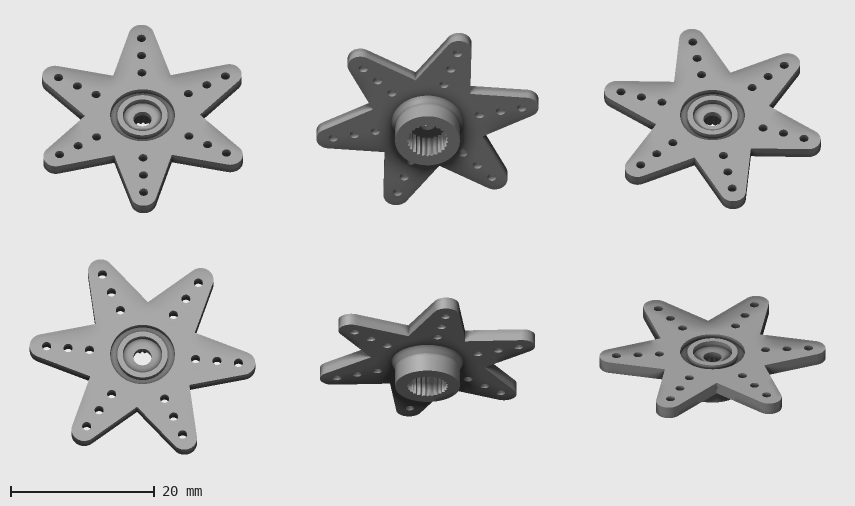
import cadquery as cq
import math

arm_count = 6
plus_y_angle = 90
tip_reach = 15.75
tip_radius = 1.75
notch_radius = 8.0
plate_thickness = 1.73

arm_hole_radius = 0.63
first_hole_reach = 7.4
hole_spacing = 3.0
holes_per_arm = 3

total_height = 5.5
hub_radius = 4.5
collar_top_radius = 5.05
collar_height = 1.0

recess_depth = 0.88
ring_outer_radius = 3.5
ring_inner_radius = 2.75

screw_hole_radius = 1.25
screw_hole_length = 0.85
tooth_count = 25
socket_root_radius = 2.9
tooth_depth = 0.28

plate_bottom = total_height - plate_thickness
collar_bottom = plate_bottom - collar_height
recess_floor = total_height - recess_depth
socket_depth = recess_floor - screw_hole_length
arm_angles = [plus_y_angle + 360 / arm_count * i for i in range(arm_count)]


def polar(radius, degrees):
    angle = math.radians(degrees)
    return (radius * math.cos(angle), radius * math.sin(angle))


def cylinder(radius, bottom, height):
    return cq.Workplane("XY").workplane(offset=bottom).circle(radius).extrude(height)


def star_plate():
    """Pointed star whose straight flanks run tangent into round arm tips."""
    tip_centre_reach = tip_reach - tip_radius
    half_pitch = 180 / arm_count
    notch_along, notch_across = polar(notch_radius, half_pitch)
    notch_distance = math.hypot(tip_centre_reach - notch_along, notch_across)
    notch_bearing = math.atan2(notch_across, notch_along - tip_centre_reach)
    contact_angle = notch_bearing - math.acos(tip_radius / notch_distance)
    contact_along = tip_centre_reach + tip_radius * math.cos(contact_angle)
    contact_across = tip_radius * math.sin(contact_angle)
    contact_reach = math.hypot(contact_along, contact_across)
    contact_spread = math.degrees(math.atan2(contact_across, contact_along))

    outline = cq.Workplane("XY").workplane(offset=plate_bottom)
    outline = outline.moveTo(*polar(notch_radius, arm_angles[0] - half_pitch))
    for angle in arm_angles:
        outline = outline.lineTo(*polar(contact_reach, angle - contact_spread))
        outline = outline.threePointArc(
            polar(tip_reach, angle),
            polar(contact_reach, angle + contact_spread),
        )
        outline = outline.lineTo(*polar(notch_radius, angle + half_pitch))
    return outline.close().extrude(plate_thickness)


def hub():
    """Round hub with a collar that flares out to meet the plate."""
    profile = [
        (0, 0),
        (hub_radius, 0),
        (hub_radius, collar_bottom),
        (collar_top_radius, plate_bottom),
        (0, plate_bottom),
    ]
    return cq.Workplane("XZ").polyline(profile).close().revolve(360, (0, 0), (0, 1))


def arm_holes():
    reaches = [first_hole_reach + hole_spacing * i for i in range(holes_per_arm)]
    centres = [polar(reach, angle) for angle in arm_angles for reach in reaches]
    plane = cq.Workplane("XY").workplane(offset=plate_bottom)
    return plane.pushPoints(centres).circle(arm_hole_radius).extrude(plate_thickness)


def top_recesses():
    """Ring groove and central pocket, leaving a raised rim between them."""
    groove = cylinder(hub_radius, recess_floor, recess_depth)
    rim = cylinder(ring_outer_radius, recess_floor, recess_depth)
    pocket = cylinder(ring_inner_radius, recess_floor, recess_depth)
    return groove.cut(rim).union(pocket)


def toothed_socket():
    """V-shaped teeth cut from below, with a tooth root on the +Y axis."""
    tooth_pitch = 360 / tooth_count
    points = []
    for i in range(tooth_count):
        root_angle = plus_y_angle + tooth_pitch * i
        points.append(polar(socket_root_radius, root_angle))
        points.append(polar(socket_root_radius - tooth_depth, root_angle + tooth_pitch / 2))
    return cq.Workplane("XY").polyline(points).close().extrude(socket_depth)


result = star_plate().union(hub())
result = result.cut(arm_holes())
result = result.cut(top_recesses())
result = result.cut(cylinder(screw_hole_radius, 0, recess_floor))
result = result.cut(toothed_socket())